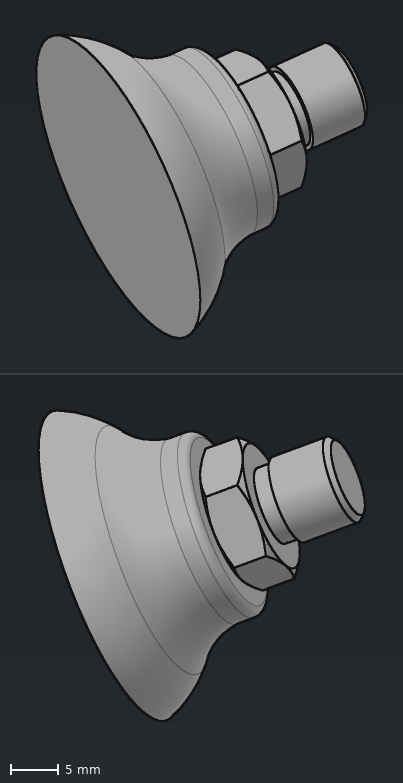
import cadquery as cq
import math

lip_top = 5.0
skirt_top = 11.0
collar_top = 14.0
nut_top = 19.0
thread_start = 21.0
total_length = 28.0

cup_radius = 17.5
waist_radius = 14.05
collar_radius = 10.5
collar_rounding = 1.0
skirt_sag = 0.75
lip_sag = 0.35

nut_across_flats = 14.1
nut_sides = 6
nut_chamfer_angle = 30.0

neck_diameter = 8.58
thread_diameter = 9.73
thread_chamfer = 0.63


def cylinder(diameter, start, end):
    """Cylinder on the Y axis between two axial positions."""
    plane = cq.Plane(origin=(0, start, 0), xDir=(1, 0, 0), normal=(0, 1, 0))
    return cq.Workplane(plane).circle(diameter / 2).extrude(end - start)


def revolve_about_y(profile):
    return profile.close().revolve(360, (0, 0, 0), (0, 1, 0))


def make_cup():
    """Flared cup: convex lip, concave skirt and a rounded collar."""
    profile = (
        cq.Workplane("XY")
        .lineTo(cup_radius, 0)
        .sagittaArc((waist_radius, lip_top), -lip_sag)
        .sagittaArc((collar_radius, skirt_top), skirt_sag)
        .lineTo(collar_radius, collar_top)
        .lineTo(0, collar_top)
    )
    return revolve_about_y(profile).faces(">Y").edges().fillet(collar_rounding)


def make_nut():
    """Hexagon with corners on +Z and -Z, chamfered conically at both ends."""
    flat_radius = nut_across_flats / 2
    corner_radius = flat_radius / math.cos(math.pi / nut_sides)
    chamfer_height = (corner_radius - flat_radius) * math.tan(math.radians(nut_chamfer_angle))
    plane = cq.Plane(origin=(0, collar_top, 0), xDir=(0, 0, 1), normal=(0, 1, 0))
    hexagon = cq.Workplane(plane).polygon(nut_sides, 2 * corner_radius).extrude(nut_top - collar_top)
    envelope = revolve_about_y(
        cq.Workplane("XY")
        .moveTo(0, collar_top)
        .lineTo(flat_radius, collar_top)
        .lineTo(corner_radius, collar_top + chamfer_height)
        .lineTo(corner_radius, nut_top - chamfer_height)
        .lineTo(flat_radius, nut_top)
        .lineTo(0, nut_top)
    )
    return hexagon.intersect(envelope)


def make_stud():
    """Plain neck below a thread with a chamfered tip."""
    neck = cylinder(neck_diameter, nut_top, thread_start)
    thread = cylinder(thread_diameter, thread_start, total_length)
    return neck.union(thread.faces(">Y").chamfer(thread_chamfer))


result = make_cup().union(make_nut()).union(make_stud())